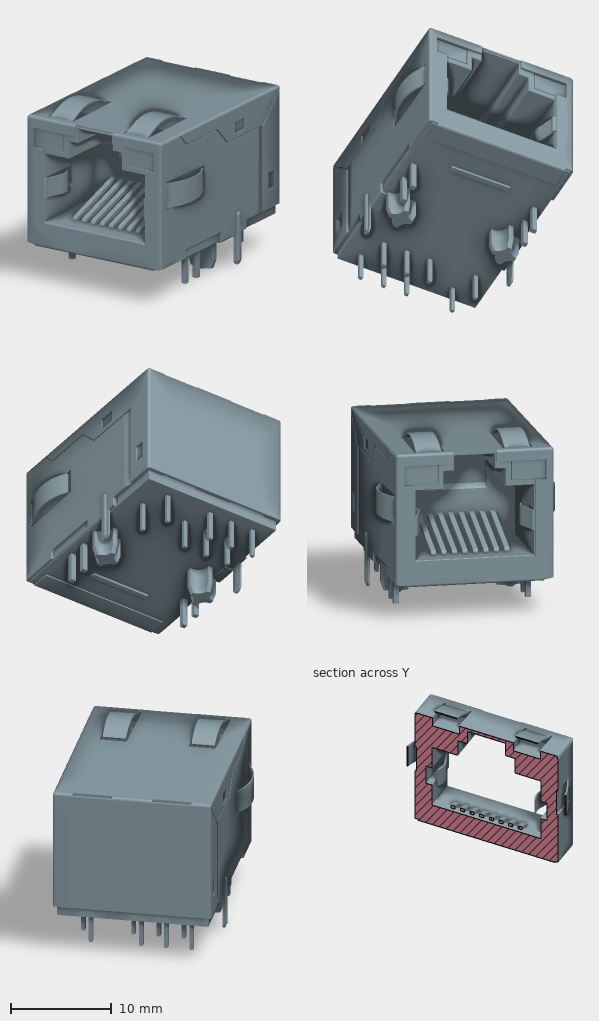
import cadquery as cq
import math


width = 16.0
length = 21.6
top_z = 13.42
sheet = 0.2
edge_radius = 0.28
shield_bottom_z = 0.13
pin_tip_z = -3.2
half_width = width / 2
plastic_half_width = half_width - sheet

opening_half_width = 6.03
opening_floor_z = 2.5
opening_roof_z = 9.65
cavity_back_y = 9.2
face_recess = 0.25
shield_margin = 0.06
lead_in = shield_margin

latch_half_width = 3.15
latch_roof_z = 11.47
latch_floor_z = 7.39
latch_depth = 0.49
latch_notch_half_width = 2.08
latch_notch_roof_z = 13.0
latch_notch_fillet = 0.2
sheet_gap_height = 0.1
shield_notch_half_width = 2.19
upper_step_z = 8.45
upper_step_depth = 0.3

lamp_outer_x = 7.2
lamp_inner_x = 3.69
lamp_bottom_z = 10.18
lamp_top_z = 12.25
lamp_gap = 0.09

contact_count = 8
contact_pitch = 1.065
contact_width = 0.5
contact_thickness = 0.38
contact_nose_length = 0.2
contact_nose_radius = 0.45
contact_front_y = 2.25
contact_end_z = 5.1

top_spring_rise = 0.985
side_spring_rise = 0.955
spring_radius = 5.6
spring_thickness = 0.15
spring_apex_y = 4.5
spring_tip_y = 7.55
top_spring_tangent_y = 2.2
side_spring_tangent_y = 2.03
spring_root_y = 0.92
spring_tip_half_width = 1.17
spring_root_half_width = 1.3
spring_window_front_y = 0.84
spring_window_back_y = 8.04
spring_window_back_half_width = 1.36
spring_window_front_half_width = 1.53
spring_pocket_back_y = 4.2
spring_pocket_depth = 1.0
top_spring_x = 4.49
side_spring_z = 7.6

inner_spring_bottom_z = 5.08
inner_spring_top_z = 7.09
inner_spring_bend_radius = 0.25
inner_spring_flat_end = (5.28, 1.9)
inner_spring_peak = (5.1, 2.65)
inner_spring_tip = (5.35, 3.5)
inner_pocket_margin = 0.08
inner_pocket_back_y = 5.6
inner_pocket_depth = 0.65

seam_gap = 0.16
seam_depth = 0.15
front_seam_height = 0.07

rear_cut_z = 1.07
rear_cut_y = 15.4
insert_step_y = 15.75
insert_rear_y = 21.16
insert_half_width = 7.65
groove_extra_depth = 0.1

catch_window_front_y = 13.33
catch_window_back_y = 15.2
catch_window_bottom_z = 10.63
catch_window_top_z = 11.85
rear_window_front_y = 19.38
rear_window_slope_end_y = 20.28
rear_window_back_y = 20.6
rear_window_bottom_z = 3.0
rear_window_height = 1.85
lower_cutout_front_y = 4.53
lower_cutout_back_y = 10.9
lower_cutout_depth = 0.25

tab_y = 13.96
tab_width = 1.2
bead_width = 0.6
bead_height = 0.17
bead_chamfer = 0.15
bead_top_z = 2.33
bead_bottom_z = -2.95

flap_drop = 0.15
flap_half_width = 7.03
flap_back_y = 2.2
rib_drop = 0.25
rib_half_width = 3.25
rib_front_y = 4.58
rib_back_y = 5.1
folded_tab_inner_x = 6.9
folded_tab_front_y = 10.9
folded_tab_back_y = 13.3

pin_pitch = 1.27
pin_rows_y = (19.8, 17.25)
pin_width = 0.43
pin_depth = 0.36
pin_tip_width = 0.3
signal_pin_slots = (-4.5, -3.5, -2.5, -1.5, -0.5, 0.5, 3.5, 4.5)
lamp_pin_x = 6.7
lamp_pin_width = 0.52
lamp_pins_y = (8.36, 6.3)
post_x = 5.72
post_y = 10.9
post_radius = 1.55
post_tip_radius = 1.22
post_taper_z = -2.0
post_bottom_z = -2.93
post_rib_half_width = 0.25
post_scoop_radius = 1.0

overlap = 0.3


def block(x0, x1, y0, y1, z0, z1):
    """Box between two opposite corners."""
    return cq.Workplane("XY").box(x1 - x0, y1 - y0, z1 - z0, centered=False).translate((x0, y0, z0))


def mirrored(shape):
    """A shape together with its mirror image across X = 0."""
    return shape.union(shape.mirror("YZ"))


def make_body():
    shield = block(-half_width, half_width, 0, length, shield_bottom_z, top_z)
    shield = shield.edges("|Z or >Z").fillet(edge_radius)
    shield = shield.cut(block(-half_width, half_width, rear_cut_y, length, shield_bottom_z, rear_cut_z))
    insert = block(-insert_half_width, insert_half_width, sheet, insert_rear_y, 0, rear_cut_z + overlap)
    body = shield.union(insert)
    groove = block(
        insert_half_width - groove_extra_depth, half_width,
        rear_cut_y, insert_step_y,
        shield_bottom_z, rear_cut_z,
    )
    return body.cut(mirrored(groove))


def cut_rear_slots(body):
    """Two notches in the upper rear edge, each open down the gap behind the plastic insert."""
    slot_inner_x = 2.02
    slot_outer_x = 6.0
    slot_width = 0.16
    notch = block(slot_inner_x, slot_outer_x, insert_rear_y, length, top_z - sheet, top_z)
    slit = block(slot_inner_x, slot_outer_x, insert_rear_y, insert_rear_y + slot_width, 0, top_z)
    return body.cut(mirrored(notch.union(slit)))


def cut_shield_opening(body):
    plug_half_width = opening_half_width + shield_margin
    plug_bottom_z = opening_floor_z - shield_margin
    plug = block(-plug_half_width, plug_half_width, 0, face_recess, plug_bottom_z, lamp_bottom_z)
    band = block(-lamp_outer_x, lamp_outer_x, 0, face_recess, lamp_bottom_z, lamp_top_z)
    notch = block(-shield_notch_half_width, shield_notch_half_width, 0, face_recess, lamp_top_z, top_z)
    return body.cut(plug).cut(band).cut(notch)


def add_lamps(body):
    """Lamp faces set in windows that are slightly larger."""
    window = block(lamp_inner_x, lamp_outer_x, face_recess, 2 * face_recess, lamp_bottom_z, lamp_top_z)
    lamp = block(
        lamp_inner_x + lamp_gap, lamp_outer_x,
        face_recess, 2 * face_recess,
        lamp_bottom_z + lamp_gap, lamp_top_z - lamp_gap,
    )
    return body.cut(mirrored(window.cut(lamp)))


def flare(opening_half, bottom_z, roof_z):
    """45-degree lead-in round a rectangular opening of the plastic face."""
    middle_z = (bottom_z + roof_z) / 2
    return (
        cq.Workplane("XZ", origin=(0, face_recess, middle_z))
        .rect(2 * (opening_half + lead_in), roof_z - bottom_z + 2 * lead_in)
        .extrude(-lead_in, taper=45)
    )


def cut_plug_cavity(body):
    start_y = face_recess
    plug = block(
        -opening_half_width, opening_half_width, start_y, cavity_back_y, opening_floor_z, opening_roof_z
    )
    upper_step = block(
        -opening_half_width, opening_half_width,
        cavity_back_y, cavity_back_y + upper_step_depth,
        upper_step_z, opening_roof_z,
    )
    latch_back_y = cavity_back_y + latch_depth
    latch = (
        cq.Workplane("YZ")
        .moveTo(start_y, latch_floor_z)
        .lineTo(cavity_back_y, latch_floor_z)
        .lineTo(latch_back_y, latch_floor_z + latch_depth)
        .lineTo(latch_back_y, latch_roof_z)
        .lineTo(start_y, latch_roof_z)
        .close()
        .extrude(latch_half_width, both=True)
    )
    notch = block(
        -latch_notch_half_width, latch_notch_half_width,
        start_y, cavity_back_y,
        latch_floor_z, latch_notch_roof_z,
    )
    notch = notch.faces(">Y").edges(">Z").fillet(latch_notch_fillet)
    sheet_gap = block(
        -latch_notch_half_width, latch_notch_half_width,
        start_y, 2 * start_y,
        top_z - sheet - sheet_gap_height, top_z - sheet,
    )
    for cutter in (plug, upper_step, latch, notch, sheet_gap):
        body = body.cut(cutter)
    body = body.cut(flare(opening_half_width, opening_floor_z, opening_roof_z))
    body = body.cut(flare(latch_half_width, opening_roof_z, latch_roof_z))
    return body.cut(flare(latch_notch_half_width, latch_roof_z, latch_notch_roof_z))


def add_contacts(body):
    """Sloping contact bars from the cavity floor up into the back wall."""
    end_y = cavity_back_y + overlap
    slope = (contact_end_z - opening_floor_z - contact_thickness) / (cavity_back_y - contact_front_y)
    end_rise = slope * (end_y - contact_front_y)
    embed = 0.05
    profile = (
        cq.Workplane("YZ")
        .moveTo(contact_front_y, opening_floor_z - embed)
        .lineTo(contact_front_y + contact_nose_length, opening_floor_z - embed)
        .lineTo(end_y, opening_floor_z + end_rise)
        .lineTo(end_y, opening_floor_z + contact_thickness + end_rise)
        .lineTo(contact_front_y + contact_nose_length, opening_floor_z + contact_thickness)
        .radiusArc((contact_front_y, opening_floor_z), -contact_nose_radius)
        .close()
        .extrude(contact_width / 2, both=True)
    )
    for index in range(contact_count):
        x = (index - (contact_count - 1) / 2) * contact_pitch
        body = body.union(profile.translate((x, 0, 0)))
    return body


def add_inner_springs(body):
    """Curved grounding leaves beside the plug, each in front of a pocket in the side wall."""
    wall_x = opening_half_width
    pocket = block(
        wall_x, wall_x + inner_pocket_depth,
        face_recess, inner_pocket_back_y,
        inner_spring_bottom_z - inner_pocket_margin, inner_spring_top_z,
    )
    bend_x = wall_x - inner_spring_bend_radius
    root_x = wall_x + overlap

    def outward(point):
        return (point[0] + spring_thickness, point[1])

    bend_end = (bend_x, 2 * inner_spring_bend_radius)
    leaf = (
        cq.Workplane("XY", origin=(0, 0, inner_spring_bottom_z))
        .moveTo(root_x, sheet / 2)
        .lineTo(wall_x, sheet / 2)
        .tangentArcPoint(bend_end, relative=False)
        .lineTo(*inner_spring_flat_end)
        .threePointArc(inner_spring_peak, inner_spring_tip)
        .lineTo(*outward(inner_spring_tip))
        .threePointArc(outward(inner_spring_peak), outward(inner_spring_flat_end))
        .lineTo(*outward(bend_end))
        .lineTo(root_x, bend_end[1])
        .close()
        .extrude(inner_spring_top_z - inner_spring_bottom_z)
    )
    return body.cut(mirrored(pocket)).union(mirrored(leaf))


def make_spring(rise, tangent_y):
    """Arched leaf, straight towards its root, narrowing towards its free tip."""
    centre_z = top_z + rise - spring_radius
    inner_radius = spring_radius - spring_thickness
    tip_angle = math.asin((spring_tip_y - spring_apex_y) / spring_radius)
    tangent_angle = math.asin((tangent_y - spring_apex_y) / spring_radius)

    def arc_point(radius, angle):
        return (spring_apex_y + radius * math.sin(angle), centre_z + radius * math.cos(angle))

    root_drop = (tangent_y - spring_root_y) * math.tan(-tangent_angle)
    root_outer_z = arc_point(spring_radius, tangent_angle)[1] - root_drop
    root_inner_z = root_outer_z - spring_thickness / math.cos(tangent_angle)
    strip = (
        cq.Workplane("YZ")
        .moveTo(spring_root_y, root_outer_z)
        .lineTo(*arc_point(spring_radius, tangent_angle))
        .threePointArc(arc_point(spring_radius, 0), arc_point(spring_radius, tip_angle))
        .lineTo(*arc_point(inner_radius, tip_angle))
        .threePointArc(arc_point(inner_radius, 0), arc_point(inner_radius, tangent_angle))
        .lineTo(spring_root_y, root_inner_z)
        .close()
        .extrude(spring_root_half_width, both=True)
    )
    plan = tapered_plan(
        spring_root_y, spring_root_half_width, spring_tip_y, spring_tip_half_width
    ).extrude(2 * top_z)
    return strip.intersect(plan.edges("|Z and >Y").fillet(sheet))


def tapered_plan(front_y, front_half_width, back_y, back_half_width):
    """Symmetrical trapezium in the XY plane."""
    return cq.Workplane("XY").polyline([
        (-front_half_width, front_y),
        (front_half_width, front_y),
        (back_half_width, back_y),
        (-back_half_width, back_y),
    ]).close()


def make_spring_window(pocket_depth):
    """Opening in the sheet round the leaf, deeper below the front part of the leaf."""
    outline = tapered_plan(
        spring_window_front_y, spring_window_front_half_width,
        spring_window_back_y, spring_window_back_half_width,
    )
    opening = outline.extrude(pocket_depth).translate((0, 0, top_z - pocket_depth))
    floor = block(-width, width, spring_pocket_back_y, length, 0, top_z - sheet)
    root = block(
        -spring_root_half_width, spring_root_half_width,
        0, spring_root_y + spring_thickness,
        0, top_z,
    )
    return opening.cut(floor).cut(root)


def on_top(shape):
    """Places a top-face shape at both spring positions of the top."""
    return mirrored(shape.translate((top_spring_x, 0, 0)))


def on_sides(shape):
    """Turns a top-face shape onto both side faces."""
    turned = shape.translate((0, 0, half_width - top_z)).rotate((0, 0, 0), (0, 1, 0), 90)
    return mirrored(turned.translate((0, 0, side_spring_z)))


def add_springs(body):
    top_spring = make_spring(top_spring_rise, top_spring_tangent_y)
    side_spring = make_spring(side_spring_rise, side_spring_tangent_y)
    body = body.cut(on_top(make_spring_window(spring_pocket_depth)))
    body = body.cut(on_sides(make_spring_window(sheet)))
    return body.union(on_top(top_spring)).union(on_sides(side_spring))


def cut_seam(body):
    """Gap below the folded top flap, running along the side in 45-degree steps."""
    rear_z = 10.18
    front_z = 12.08
    flat_rear_y = 18.4
    flat_end_y = 12.05
    ledge_rear_y = flat_end_y - (front_z - rear_z)
    ledge_end_y = 4.72
    top_end_y = ledge_end_y - (top_z - edge_radius - front_z)
    rear_rise = top_z - edge_radius - rear_z
    shift = seam_gap * math.tan(math.pi / 8)
    upper = [
        (flat_rear_y + rear_rise, rear_z + rear_rise),
        (flat_rear_y, rear_z),
        (flat_end_y, rear_z),
        (ledge_rear_y, front_z),
        (ledge_end_y, front_z),
        (top_end_y, top_z - edge_radius),
    ]
    lower = [(y + shift, z - seam_gap) for y, z in upper[:2]]
    lower += [(y - shift, z - seam_gap) for y, z in upper[2:-1]]
    lower.append((top_end_y - seam_gap * math.sqrt(2), top_z - edge_radius))
    gap = (
        cq.Workplane("YZ", origin=(half_width - seam_depth, 0, 0))
        .polyline(upper + lower[::-1])
        .close()
        .extrude(seam_depth)
    )
    front_gap = block(
        half_width - seam_depth, half_width, 0, top_end_y,
        top_z - edge_radius, top_z - edge_radius + front_seam_height,
    )
    return body.cut(mirrored(gap.union(front_gap)))


def cut_side_joggle(body):
    """Double bend taking the side sheet inwards, under the edge of the rear flap."""
    start_y = 17.22
    end_y = 18.42
    middle_y = (start_y + end_y) / 2
    channel_top_z = 10.02
    channel = (
        cq.Workplane("XY", origin=(0, 0, rear_cut_z))
        .moveTo(half_width, start_y - sheet)
        .lineTo(half_width, start_y)
        .tangentArcPoint((half_width - sheet / 2, middle_y), relative=False)
        .tangentArcPoint((half_width - sheet, end_y), relative=False)
        .lineTo(half_width, end_y)
        .close()
        .extrude(channel_top_z - rear_cut_z)
    )
    return body.cut(mirrored(channel))


def cut_side_windows(body):
    catch_window = block(
        plastic_half_width, half_width,
        catch_window_front_y, catch_window_back_y,
        catch_window_bottom_z, catch_window_top_z,
    )
    deep_x = plastic_half_width - sheet
    rear_window = (
        cq.Workplane("XY", origin=(0, 0, rear_window_bottom_z))
        .polyline([
            (half_width, rear_window_front_y),
            (plastic_half_width, rear_window_front_y),
            (deep_x, rear_window_slope_end_y),
            (deep_x, rear_window_back_y),
            (half_width, rear_window_back_y),
        ])
        .close()
        .extrude(rear_window_height)
    )
    lower_cutout = block(
        half_width - lower_cutout_depth, half_width,
        lower_cutout_front_y, lower_cutout_back_y,
        shield_bottom_z, rear_cut_z,
    )
    lower_cutout = lower_cutout.edges("|X and >Z").fillet(edge_radius)
    return body.cut(mirrored(catch_window.union(rear_window).union(lower_cutout)))


def add_ground_tabs(body):
    """Round-ended solder tabs with a raised bead, continuing the side sheets downwards."""
    tab_radius = tab_width / 2
    bead_radius = bead_width / 2

    def rounded_strip(start_x, end_x, radius, bottom_z, top):
        middle_z = (bottom_z + top) / 2
        return (
            cq.Workplane("YZ", origin=(start_x, 0, 0))
            .center(tab_y, middle_z)
            .slot2D(top - bottom_z, 2 * radius, 90)
            .extrude(end_x - start_x)
        )

    tab = rounded_strip(plastic_half_width, half_width, tab_radius, pin_tip_z, bead_top_z)
    bead_x = half_width + bead_height
    bead = rounded_strip(plastic_half_width, bead_x, bead_radius, bead_bottom_z, bead_top_z)
    bead = bead.faces(">X").edges().chamfer(bead_chamfer)
    return body.union(mirrored(tab.union(bead)))


def add_underside(body):
    flap = block(-flap_half_width, flap_half_width, 0, flap_back_y, -flap_drop, overlap)
    flap = flap.edges("<Y and <Z").fillet(edge_radius)
    rib = block(-rib_half_width, rib_half_width, rib_front_y, rib_back_y, -rib_drop, overlap)
    folded_tab = block(
        folded_tab_inner_x, half_width,
        folded_tab_front_y, folded_tab_back_y,
        -flap_drop, overlap,
    )
    folded_tab = folded_tab.edges(">X and <Z").fillet(edge_radius)
    return body.union(flap).union(rib).union(mirrored(folded_tab))


def make_signal_pin():
    """Rectangular pin, narrowed at its tip."""
    narrowing = pin_width - pin_tip_width
    half_x = pin_width / 2
    half_y = pin_depth / 2
    shank = block(-half_x, half_x, -half_y, half_y, pin_tip_z, overlap)
    return shank.faces("<Z").edges("|Y").chamfer(narrowing, narrowing / 2)


def add_pins(body):
    pin = make_signal_pin()
    for index, slot in enumerate(signal_pin_slots):
        row_y = pin_rows_y[index % len(pin_rows_y)]
        body = body.union(pin.translate((slot * pin_pitch, row_y, 0)))
    half = lamp_pin_width / 2
    for y in lamp_pins_y:
        lamp_pin = block(lamp_pin_x - half, lamp_pin_x + half, y - half, y + half, pin_tip_z, overlap)
        body = body.union(mirrored(lamp_pin))
    return body


def add_posts(body):
    """Tapered cross-shaped posts with concave scoops between the ribs."""
    post = (
        cq.Workplane("XZ")
        .moveTo(0, overlap)
        .lineTo(post_radius, overlap)
        .lineTo(post_radius, post_taper_z)
        .lineTo(post_tip_radius, post_bottom_z)
        .lineTo(0, post_bottom_z)
        .close()
        .revolve(360, (0, 0, 0), (0, 1, 0))
    )
    near = post_rib_half_width
    centre = near + post_scoop_radius
    far = 2 * centre
    scoop = (
        cq.Workplane("XY", origin=(0, 0, post_bottom_z))
        .moveTo(near, far)
        .lineTo(near, centre)
        .radiusArc((centre, near), -post_scoop_radius)
        .lineTo(far, near)
        .lineTo(far, far)
        .close()
        .extrude(-post_bottom_z)
    )
    for quarter in range(4):
        post = post.cut(scoop.rotate((0, 0, 0), (0, 0, 1), 90 * quarter))
    return body.union(mirrored(post.translate((post_x, post_y, 0))))


result = make_body()
result = cut_rear_slots(result)
result = cut_shield_opening(result)
result = add_lamps(result)
result = cut_plug_cavity(result)
result = add_contacts(result)
result = add_inner_springs(result)
result = add_springs(result)
result = cut_seam(result)
result = cut_side_joggle(result)
result = cut_side_windows(result)
result = add_underside(result)
result = add_posts(result)
result = add_pins(result)
result = add_ground_tabs(result)